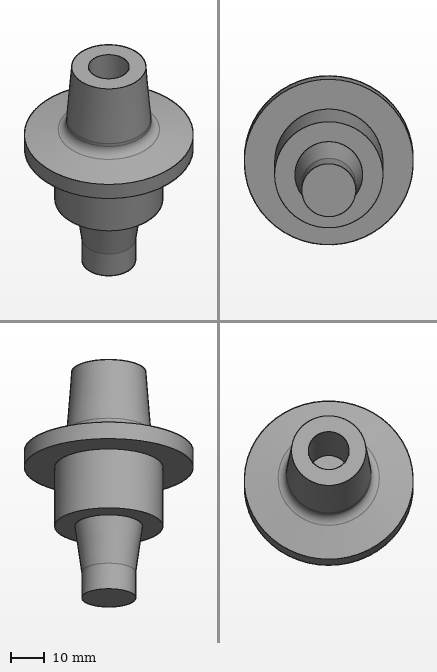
import cadquery as cq
import math

tip_diameter = 16.0
lower_taper_top_diameter = 20.0
body_diameter = 32.0
flange_diameter = 50.0
neck_diameter = 25.0
spigot_top_diameter = 22.0
bore_diameter = 12.0

total_height = 71.0
tip_length = 8.0
lower_taper_length = 14.5
body_length = 18.5
flange_thickness = 5.2
spigot_taper_length = 19.0
bore_depth = 20.0

flange_slope = math.radians(10)
blend_radius = 3.0

tip_top = tip_length
body_bottom = tip_top + lower_taper_length
body_top = body_bottom + body_length
flange_top = body_top + flange_thickness
spigot_taper_bottom = total_height - spigot_taper_length

neck_radius = neck_diameter / 2
flange_radius = flange_diameter / 2
blend_centre_radius = neck_radius + blend_radius

slope_end_radius = blend_centre_radius - blend_radius * math.sin(flange_slope)
slope_rise = (flange_radius - slope_end_radius) * math.tan(flange_slope)
neck_bottom = flange_top + slope_rise + blend_radius * math.cos(flange_slope)


def blend_point(angle):
    """Point (radius, height) on the blend arc, at an angle from the outward direction."""
    return (
        blend_centre_radius + blend_radius * math.cos(angle),
        neck_bottom + blend_radius * math.sin(angle),
    )


blend_start_angle = 1.5 * math.pi - flange_slope
blend_mid_angle = (blend_start_angle + math.pi) / 2

outline = (
    cq.Workplane("XZ")
    .moveTo(0, 0)
    .lineTo(tip_diameter / 2, 0)
    .lineTo(tip_diameter / 2, tip_top)
    .lineTo(lower_taper_top_diameter / 2, body_bottom)
    .lineTo(body_diameter / 2, body_bottom)
    .lineTo(body_diameter / 2, body_top)
    .lineTo(flange_radius, body_top)
    .lineTo(flange_radius, flange_top)
    .lineTo(*blend_point(blend_start_angle))
    .threePointArc(blend_point(blend_mid_angle), (neck_radius, neck_bottom))
    .lineTo(neck_radius, spigot_taper_bottom)
    .lineTo(spigot_top_diameter / 2, total_height)
    .lineTo(0, total_height)
    .close()
)
shaft = outline.revolve(360, (0, 0, 0), (0, 1, 0))

bore = (
    cq.Workplane("XY")
    .workplane(offset=total_height - bore_depth)
    .circle(bore_diameter / 2)
    .extrude(bore_depth)
)

result = shaft.cut(bore)